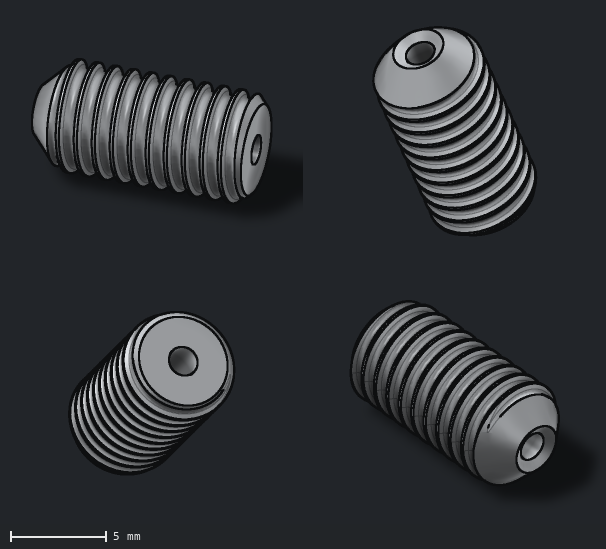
import cadquery as cq
import math

LENGTH = 12.0
MAJOR_RADIUS = 3.0
PITCH = 1.0

POINT_RADIUS = 1.38
END_CHAMFER = 0.55

BORE_RADIUS = 0.79
CUP_ANGLE = math.radians(120.0)

GROOVE_WIDTH = 0.82 * PITCH
FLANK_ANGLE = math.radians(30.0)
ROOT_FILLET = 0.31 * PITCH
CUTTER_OVERLAP = 0.1


def make_blank():
    """Revolved body with a 45 degree point and a 45 degree chamfer at the far end."""
    point_length = MAJOR_RADIUS - POINT_RADIUS
    return (
        cq.Workplane("XZ")
        .moveTo(0, 0)
        .lineTo(0, POINT_RADIUS)
        .lineTo(point_length, MAJOR_RADIUS)
        .lineTo(LENGTH - END_CHAMFER, MAJOR_RADIUS)
        .lineTo(LENGTH, MAJOR_RADIUS - END_CHAMFER)
        .lineTo(LENGTH, 0)
        .close()
        .revolve(360, (0, 0, 0), (1, 0, 0))
    )


def make_bore():
    """Through bore that widens into a conical cup reaching the rim of the point."""
    cup_depth = (POINT_RADIUS - BORE_RADIUS) / math.tan(CUP_ANGLE / 2)
    return (
        cq.Workplane("XZ")
        .moveTo(0, 0)
        .lineTo(0, POINT_RADIUS)
        .lineTo(cup_depth, BORE_RADIUS)
        .lineTo(LENGTH, BORE_RADIUS)
        .lineTo(LENGTH, 0)
        .close()
        .revolve(360, (0, 0, 0), (1, 0, 0))
    )


def make_groove_turn():
    """One right-handed turn of the groove, starting and ending at the +Y side."""
    half_width = GROOVE_WIDTH / 2
    outer_radius = MAJOR_RADIUS + CUTTER_OVERLAP
    outer_half_width = half_width + CUTTER_OVERLAP * math.tan(FLANK_ANGLE)

    flank_apex_radius = MAJOR_RADIUS - half_width / math.tan(FLANK_ANGLE)
    fillet_center_radius = flank_apex_radius + ROOT_FILLET / math.sin(FLANK_ANGLE)
    root_radius = fillet_center_radius - ROOT_FILLET
    tangent_half_width = ROOT_FILLET * math.cos(FLANK_ANGLE)
    tangent_radius = fillet_center_radius - ROOT_FILLET * math.sin(FLANK_ANGLE)

    path = cq.Wire.makeHelix(PITCH, PITCH, MAJOR_RADIUS)
    return (
        cq.Workplane("XZ")
        .moveTo(outer_radius, -outer_half_width)
        .lineTo(tangent_radius, -tangent_half_width)
        .threePointArc((root_radius, 0), (tangent_radius, tangent_half_width))
        .lineTo(outer_radius, outer_half_width)
        .close()
        .sweep(cq.Workplane(obj=path), isFrenet=True)
    )


def cut_thread(body):
    """Cut the groove turn by turn; its turns meet at the +Y side at whole pitches from X = 0."""
    groove_turn = make_groove_turn().val()
    last_turn = math.ceil(LENGTH / PITCH)
    for turn in range(last_turn + 1):
        turn_frame = cq.Plane(origin=(turn * PITCH, 0, 0), xDir=(0, 1, 0), normal=(1, 0, 0))
        body = body.cut(cq.Workplane(obj=groove_turn.moved(cq.Location(turn_frame))))
    return body


result = cut_thread(make_blank()).cut(make_bore())